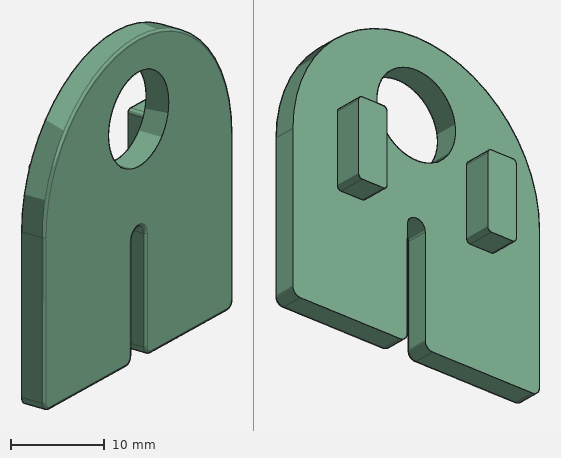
import cadquery as cq

plate_width = 34.5
plate_height = 37.5
plate_thickness = 3.0
bottom_corner_radius = 1.0
back_edge_radius = 0.3

hole_diameter = 11.0
hole_height = 28.0

slot_width = 2.5
slot_top_height = 15.5

post_length = 3.5
post_width = 3.98
post_height = 10.0
post_corner_radius = 0.5
post_offset = 9.05
post_bottom_height = 15.0

arch_radius = plate_width / 2
arch_height = plate_height - arch_radius
slot_radius = slot_width / 2
slot_round_height = slot_top_height - slot_radius
post_center_height = post_bottom_height + post_height / 2


def slotted_plate():
    """Arched plate with the bottom slot; its front face lies on X = 0."""
    plate = (
        cq.Workplane("YZ")
        .moveTo(-arch_radius, 0)
        .lineTo(-slot_radius, 0)
        .lineTo(-slot_radius, slot_round_height)
        .threePointArc((0, slot_top_height), (slot_radius, slot_round_height))
        .lineTo(slot_radius, 0)
        .lineTo(arch_radius, 0)
        .lineTo(arch_radius, arch_height)
        .threePointArc((0, plate_height), (-arch_radius, arch_height))
        .close()
        .extrude(plate_thickness)
    )
    plate = plate.faces("<Z").edges("|X").fillet(bottom_corner_radius)
    return plate.faces(">X").edges().fillet(back_edge_radius)


def hole_cutter():
    """Cylinder that passes through the full plate thickness."""
    return (
        cq.Workplane("YZ")
        .center(0, hole_height)
        .circle(hole_diameter / 2)
        .extrude(plate_thickness)
    )


def posts():
    """Pair of posts with rounded long edges, standing out toward -X."""
    return (
        cq.Workplane("YZ")
        .pushPoints([(side * post_offset, post_center_height) for side in (-1, 1)])
        .rect(post_width, post_height)
        .extrude(-post_length)
        .edges("|X")
        .fillet(post_corner_radius)
    )


result = slotted_plate().cut(hole_cutter()).union(posts())